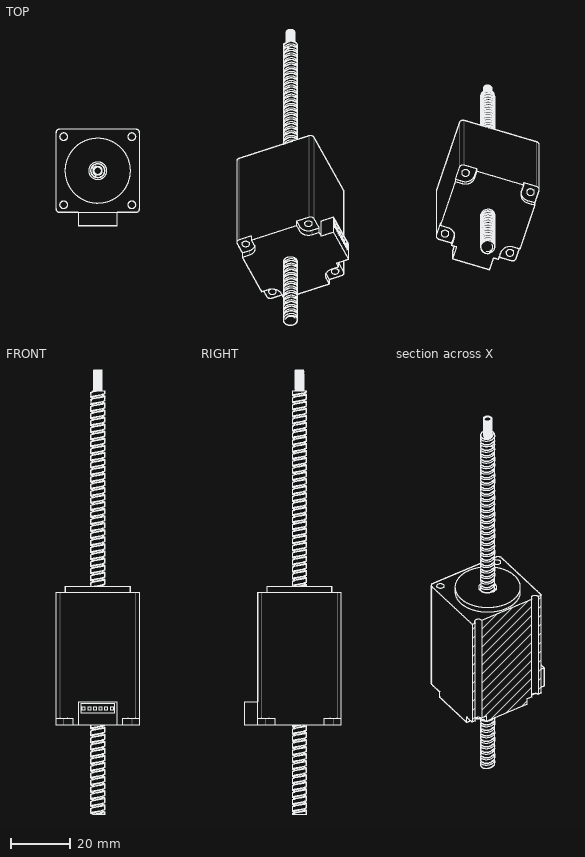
import cadquery as cq
import math


BODY_SIDE = 28.2
BODY_HEIGHT = 44.8
BODY_EDGE_RADIUS = 1.3
MOUNT_HOLE_PITCH = 23.0
MOUNT_HOLE_DIAMETER = 2.5

NOTCH_RADIUS = 3.2
NOTCH_HEIGHT = 2.3

BOSS_DIAMETER = 22.0
BOSS_HEIGHT = 2.0
BOSS_BORE_DIAMETER = 6.0

SCREW_DIAMETER = 4.76
SCREW_PITCH = 2.38
SCREW_THREAD_DEPTH = 0.7
SCREW_GROOVE_WIDTH = 0.9
SCREW_FLANK_ANGLE = 14.5
SCREW_GROOVE_HEIGHT = -0.4
OVERALL_LENGTH = 150.0
REAR_LENGTH = 30.2

TIP_DIAMETER = 3.0
TIP_LENGTH = 7.0
TIP_PITCH = 0.5
TIP_THREAD_DEPTH = 0.27
TIP_GROOVE_WIDTH = 0.4
TIP_FLANK_ANGLE = 30.0
TIP_GROOVE_OFFSET = 0.2

RIDGE_OVERLAP = 0.05

CONNECTOR_WIDTH = 13.1
CONNECTOR_HEIGHT = 7.85
CONNECTOR_DEPTH = 4.5
SOCKET_WIDTH = 11.3
SOCKET_BOTTOM = 4.05
SOCKET_TOP = 7.27
PIN_COUNT = 6
PIN_PITCH = 1.9
PIN_SIDE = 1.0
PIN_LENGTH = 4.4
PIN_CENTER_Z = 5.65

BODY_HALF = BODY_SIDE / 2
FRONT_END = OVERALL_LENGTH - REAR_LENGTH
TIP_START = FRONT_END - TIP_LENGTH
CONNECTOR_FACE_Y = -BODY_HALF - CONNECTOR_DEPTH


def upright_box(width, depth, height, center_x, start_y, start_z):
    """Box centred on center_x that extends toward +Y and +Z from its start."""
    box = cq.Workplane("XY").box(width, depth, height, centered=(True, False, False))
    return box.translate((center_x, start_y, start_z))


def make_body():
    """Square motor housing with its pilot boss, mounting holes and notched rear corners."""
    body = cq.Workplane("XY").rect(BODY_SIDE, BODY_SIDE).extrude(BODY_HEIGHT)
    body = body.edges("|Z").fillet(BODY_EDGE_RADIUS)

    boss = cq.Workplane("XY").workplane(offset=BODY_HEIGHT).circle(BOSS_DIAMETER / 2)
    boss = boss.circle(BOSS_BORE_DIAMETER / 2).extrude(BOSS_HEIGHT)
    holes = (
        cq.Workplane("XY")
        .rect(MOUNT_HOLE_PITCH, MOUNT_HOLE_PITCH, forConstruction=True)
        .vertices()
        .circle(MOUNT_HOLE_DIAMETER / 2)
        .extrude(BODY_HEIGHT)
    )
    body = body.union(boss).cut(holes)
    for quarter in range(4):
        body = body.cut(make_corner_notch().rotate((0, 0, 0), (0, 0, 1), 90 * quarter))
    return body


def make_corner_notch():
    """Pocket at the +X +Y corner, open to both sides, with a rounded inner edge."""
    inner = MOUNT_HOLE_PITCH / 2 - NOTCH_RADIUS
    return (
        cq.Workplane("XY")
        .rect(BODY_SIDE - 2 * inner, BODY_SIDE - 2 * inner)
        .extrude(NOTCH_HEIGHT)
        .edges("|Z")
        .edges("<(1, 1, 0)")
        .fillet(NOTCH_RADIUS)
        .translate((BODY_HALF, BODY_HALF, 0))
    )


def make_connector():
    """Open-fronted shell with a row of square pins that stand on the motor body."""
    connector = upright_box(CONNECTOR_WIDTH, CONNECTOR_DEPTH, CONNECTOR_HEIGHT, 0, CONNECTOR_FACE_Y, 0)
    socket_height = SOCKET_TOP - SOCKET_BOTTOM
    socket = upright_box(SOCKET_WIDTH, CONNECTOR_DEPTH, socket_height, 0, CONNECTOR_FACE_Y, SOCKET_BOTTOM)
    connector = connector.cut(socket)
    pin_start_y = -BODY_HALF - PIN_LENGTH
    for index in range(PIN_COUNT):
        x = (index - (PIN_COUNT - 1) / 2) * PIN_PITCH
        pin = upright_box(PIN_SIDE, PIN_LENGTH, PIN_SIDE, x, pin_start_y, PIN_CENTER_Z - PIN_SIDE / 2)
        connector = connector.union(pin)
    return connector


def helical_ridge(profile, pitch, turns):
    """Solid swept up a right-hand helix from the +X side by a closed (radius, height) outline."""
    length = turns * pitch
    helices = [cq.Wire.makeHelix(pitch, length, r).translate(cq.Vector(0, 0, z)) for r, z in profile]
    next_helices = helices[1:] + helices[:1]
    faces = [cq.Face.makeRuledSurface(low, high) for low, high in zip(helices, next_helices)]
    for end_height in (0, length):
        corners = [cq.Vector(r, 0, z + end_height) for r, z in profile]
        faces.append(cq.Face.makeFromWires(cq.Wire.makePolygon(corners, close=True)))
    return cq.Workplane(cq.Solid.makeSolid(cq.Shell.makeShell(faces)))


def threaded_rod(diameter, bottom, top, pitch, depth, groove_width, flank_angle, groove_height):
    """Rod whose helical groove is centred on the +X side at groove_height plus whole pitches."""
    crest_radius = diameter / 2
    core_radius = crest_radius - depth
    buried_radius = core_radius - RIDGE_OVERLAP
    crest_half = (pitch - groove_width) / 2
    buried_half = crest_half + (depth + RIDGE_OVERLAP) * math.tan(math.radians(flank_angle))

    first_ridge = groove_height + pitch / 2
    start = first_ridge + pitch * (math.floor((bottom - first_ridge) / pitch) - 1)
    turns = math.ceil((top - start) / pitch) + 1
    profile = [
        (buried_radius, start - buried_half),
        (crest_radius, start - crest_half),
        (crest_radius, start + crest_half),
        (buried_radius, start + buried_half),
    ]
    length = top - bottom
    envelope = upright_box(2 * diameter, 2 * diameter, length, 0, -diameter, bottom)
    core = cq.Workplane("XY").workplane(offset=bottom).circle(core_radius).extrude(length)
    return helical_ridge(profile, pitch, turns).intersect(envelope).union(core)


def screw_stretch(bottom, top):
    """Lead screw between two heights; every stretch follows the same helix."""
    return threaded_rod(
        SCREW_DIAMETER,
        bottom,
        top,
        SCREW_PITCH,
        SCREW_THREAD_DEPTH,
        SCREW_GROOVE_WIDTH,
        SCREW_FLANK_ANGLE,
        SCREW_GROOVE_HEIGHT,
    )


def make_tip():
    """Fine-threaded end of the screw in front of its shoulder."""
    return threaded_rod(
        TIP_DIAMETER,
        TIP_START,
        FRONT_END,
        TIP_PITCH,
        TIP_THREAD_DEPTH,
        TIP_GROOVE_WIDTH,
        TIP_FLANK_ANGLE,
        TIP_START + TIP_GROOVE_OFFSET,
    )


front_screw = screw_stretch(BODY_HEIGHT, TIP_START)
rear_screw = screw_stretch(-REAR_LENGTH, 0)

result = make_body().union(make_connector()).union(front_screw).union(rear_screw).union(make_tip())